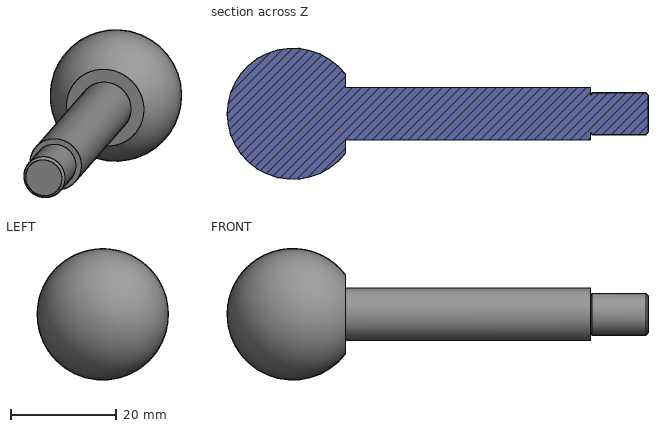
import cadquery as cq
import math

ball_diameter = 25.0
ball_length = 22.5
shaft_diameter = 10.0
tip_diameter = 8.0
tip_length = 11.0
tip_chamfer = 0.5
undercut_depth = 0.5
undercut_angle = 30.0
overall_length = 80.0

ball_radius = ball_diameter / 2
shaft_radius = shaft_diameter / 2
tip_radius = tip_diameter / 2

shoulder_x = overall_length - tip_length
undercut_width = undercut_depth * math.tan(math.radians(undercut_angle))
flat_radius = math.sqrt(ball_radius**2 - (ball_length - ball_radius) ** 2)


def lever_profile():
    """Half section of the lever, above the X axis."""
    return (
        cq.Workplane("XZ")
        .moveTo(0, 0)
        .threePointArc((ball_radius, ball_radius), (ball_length, flat_radius))
        .lineTo(ball_length, shaft_radius)
        .lineTo(shoulder_x, shaft_radius)
        .lineTo(shoulder_x, tip_radius - undercut_depth)
        .lineTo(shoulder_x + undercut_width, tip_radius)
        .lineTo(overall_length - tip_chamfer, tip_radius)
        .lineTo(overall_length, tip_radius - tip_chamfer)
        .lineTo(overall_length, 0)
        .close()
    )


result = lever_profile().revolve(360, (0, 0, 0), (1, 0, 0))